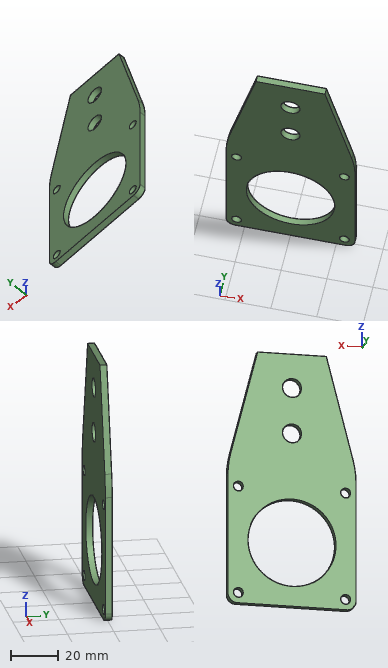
import cadquery as cq
import math

width = 56.0
height = 111.2
thickness = 3.0
top_width = 30.0
corner_radius = 4.0
shoulder_radius = 40.0

bore_diameter = 38.5
screw_hole_diameter = 4.2
screw_spacing = 46.9
mount_hole_diameter = 8.2
mount_hole_spacing = 20.0
upper_mount_hole_z = 96.3

half_width = width / 2
half_top = top_width / 2
bore_z = half_width
back_face = (0, thickness / 2, 0)
shoulder_z = width

arc_center_x = half_width - shoulder_radius
corner_dx = half_top - arc_center_x
corner_dz = height - shoulder_z
corner_distance = math.hypot(corner_dx, corner_dz)
taper_angle = math.atan2(corner_dz, corner_dx) - math.acos(shoulder_radius / corner_distance)


def shoulder_point(angle):
    """Point on the right-hand shoulder arc, measured from +X."""
    x = arc_center_x + shoulder_radius * math.cos(angle)
    z = shoulder_z + shoulder_radius * math.sin(angle)
    return x, z


def mirrored(point):
    return -point[0], point[1]


def make_plate():
    arc_middle = shoulder_point(taper_angle / 2)
    arc_end = shoulder_point(taper_angle)
    outline = (
        cq.Workplane("XZ", origin=back_face)
        .moveTo(-half_width, 0)
        .lineTo(half_width, 0)
        .lineTo(half_width, shoulder_z)
        .threePointArc(arc_middle, arc_end)
        .lineTo(half_top, height)
        .lineTo(-half_top, height)
        .lineTo(*mirrored(arc_end))
        .threePointArc(mirrored(arc_middle), (-half_width, shoulder_z))
        .close()
    )
    plate = outline.extrude(thickness)
    return plate.edges("|Y and <Z").fillet(corner_radius)


def through_holes(points, diameter):
    """Cylinders along Y that pass through the whole plate."""
    sketch = cq.Workplane("XZ", origin=back_face).pushPoints(points).circle(diameter / 2)
    return sketch.extrude(thickness)


screw_offset = screw_spacing / 2
screw_points = [
    (x, bore_z + dz)
    for x in (-screw_offset, screw_offset)
    for dz in (-screw_offset, screw_offset)
]
mount_points = [(0, upper_mount_hole_z), (0, upper_mount_hole_z - mount_hole_spacing)]

result = make_plate()
result = result.cut(through_holes([(0, bore_z)], bore_diameter))
result = result.cut(through_holes(screw_points, screw_hole_diameter))
result = result.cut(through_holes(mount_points, mount_hole_diameter))